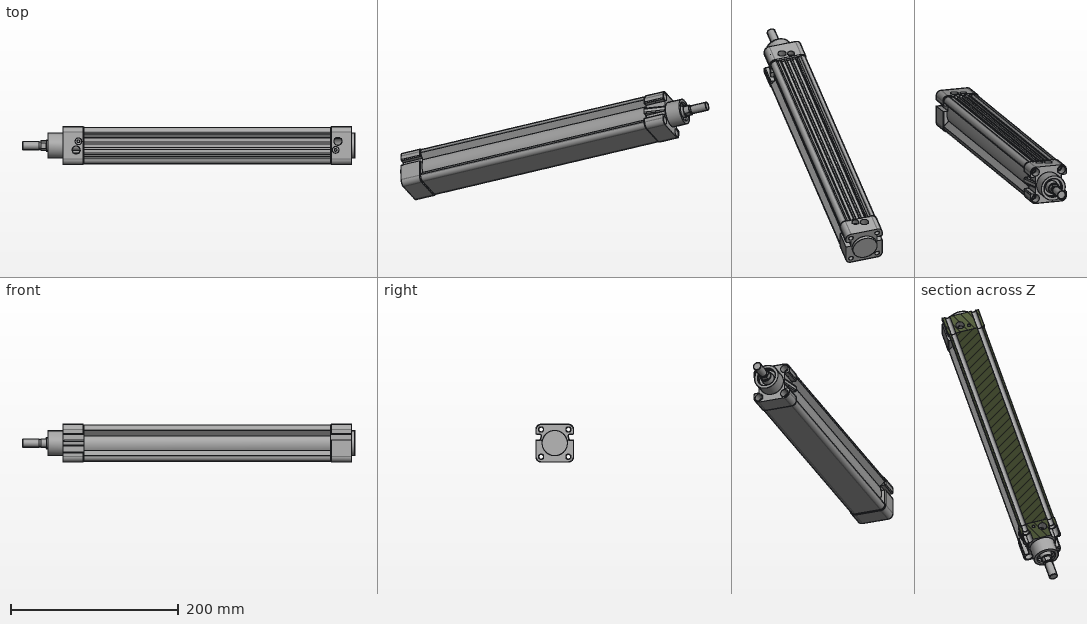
import cadquery as cq


OVERALL_LENGTH = 396.0
NECK_START = 30.0
FRONT_CAP_START = 48.0
TUBE_START = 73.0
TUBE_END = 366.5
REAR_BOSS_LENGTH = 4.0
REAR_CAP_END = OVERALL_LENGTH - REAR_BOSS_LENGTH

CAP_HALF = 22.5
SCREW_OFFSET = 16.2
CORNER_RADIUS = CAP_HALF - SCREW_OFFSET
SEAM_CHAMFER = 1.0
BOSS_RADIUS = 15.0
SIDE_FLOOR = 16.2
LUG_EDGE = 10.3
LUG_CHAMFER = 1.0
RIB_HALF_BASE = 3.5
RIB_HALF_CREST = 2.0
RIB_FLANK_DROP = 0.8
RIB_FRONT_CREST = 16.5
RIB_BACK_CREST = 22.0

THROUGH_RADIUS = 2.8
THREAD_RADIUS = 3.5
THREAD_DEPTH = 16.0
COUNTERBORE_RADIUS = 4.8
COUNTERBORE_DEPTH = 12.0

PORT_RADIUS = 4.8
PORT_FROM_TUBE = 9.0
CUSHION_SCREW_RADIUS = 4.0
CUSHION_SCREW_FROM_TUBE = 6.5
CUSHION_SCREW_DEPTH = 6.0
SOCKET_RADIUS = 1.5
SOCKET_DEPTH = 2.0
TOP_HOLE_OFFSET = 5.0
CUSHION_BORE_RADIUS = 8.7
CUSHION_BORE_DEPTH = 15.0

WIPER_SEAT_RADIUS = 11.0
WIPER_SEAT_DEPTH = 6.5
SEAT_MOUTH_RADIUS = 11.5
SEAT_MOUTH_DEPTH = 2.8
LIP_BASE_RADIUS = 7.5
LIP_TIP_RADIUS = 6.7
LIP_OVERHANG = 1.5

ROD_RADIUS = 6.0
THREAD_END_DIAMETER = 10.0
THREAD_END_CHAMFER = 0.5
UNDERCUT_RADIUS = 4.5
UNDERCUT_START = 19.8
FLATS_START = 21.8
FLATS_END = 27.7
ACROSS_FLATS = THREAD_END_DIAMETER

TUBE_HALF = 21.8
TUBE_CORNER_RADIUS = TUBE_HALF - SCREW_OFFSET
TUBE_BORE_RADIUS = 16.0
TUBE_WALL_RADIUS = 18.0
LOBE_EDGE = 15.0
VALLEY_DEPTH = 2.5
RIDGE_HALF = 10.3
RIDGE_DROP = 0.8
SLOT_WIDTH = 4.5
SLOT_PITCH = 6.7
SLOT_COUNT = 3
SLOT_DEPTH = 2.8


def block(x_range, y_range, z_range):
    """Box given by its limits along the three axes."""
    (x0, x1), (y0, y1), (z0, z1) = x_range, y_range, z_range
    return cq.Workplane("XY").box(x1 - x0, y1 - y0, z1 - z0, centered=False).translate((x0, y0, z0))


def x_cylinder(radius, x0, x1, centers=((0, 0),)):
    """Cylinders along X at the given (Y, Z) centers."""
    return cq.Workplane("YZ", origin=(x0, 0, 0)).pushPoints(centers).circle(radius).extrude(x1 - x0)


def top_hole(radius, x, y, z_floor):
    """Vertical cutter from z_floor up through the top face."""
    return cq.Workplane("XY", origin=(x, y, z_floor)).circle(radius).extrude(CAP_HALF - z_floor)


def prism(points, x0, x1):
    """Closed (Y, Z) outline extruded along X."""
    return cq.Workplane("YZ", origin=(x0, 0, 0)).polyline(points).close().extrude(x1 - x0)


def rounded_bar(half, radius, x0, x1):
    """Square bar along X with its long edges rounded."""
    bar = block((x0, x1), (-half, half), (-half, half))
    return bar.edges("|X").fillet(radius)


SCREW_CENTERS = [(y, z) for y in (-SCREW_OFFSET, SCREW_OFFSET) for z in (-SCREW_OFFSET, SCREW_OFFSET)]


def side_recess(x0, x1, z_low, chamfer_low):
    """Recess in the +Y side up to the upper lug, with the lug corners chamfered."""
    outer = CAP_HALF
    if chamfer_low:
        low_edge = [(outer, z_low - LUG_CHAMFER), (outer - LUG_CHAMFER, z_low)]
    else:
        low_edge = [(outer, z_low)]
    floor = [(SIDE_FLOOR, z_low), (SIDE_FLOOR, LUG_EDGE)]
    high_edge = [
        (outer - LUG_CHAMFER, LUG_EDGE),
        (outer, LUG_EDGE + LUG_CHAMFER),
    ]
    return prism(low_edge + floor + high_edge, x0, x1)


def side_rib():
    """Trapezoidal rib on the +Y side that rises from the front face to the tube."""
    def section(x, crest):
        points = [
            (0, -RIB_HALF_BASE),
            (crest - RIB_FLANK_DROP, -RIB_HALF_BASE),
            (crest, -RIB_HALF_CREST),
            (crest, RIB_HALF_CREST),
            (crest - RIB_FLANK_DROP, RIB_HALF_BASE),
            (0, RIB_HALF_BASE),
        ]
        return cq.Wire.makePolygon([cq.Vector(x, y, z) for y, z in points], close=True)

    front = section(FRONT_CAP_START, RIB_FRONT_CREST)
    back = section(TUBE_START, RIB_BACK_CREST)
    rib = cq.Workplane(cq.Solid.makeLoft([front, back], True))
    return rib.cut(block((FRONT_CAP_START, TUBE_START), (0, SIDE_FLOOR), (-RIB_HALF_BASE, RIB_HALF_BASE)))


def cut_port_and_cushion_screw(cap, tube_face, inward, port_side):
    """Air port down to the cushion bore, and the sunk cushioning screw beside it."""
    port_x = tube_face + inward * PORT_FROM_TUBE
    screw_x = tube_face + inward * CUSHION_SCREW_FROM_TUBE
    port_y = port_side * TOP_HOLE_OFFSET
    screw_floor = CAP_HALF - CUSHION_SCREW_DEPTH
    cap = cap.cut(top_hole(PORT_RADIUS, port_x, port_y, 0))
    cap = cap.cut(top_hole(CUSHION_SCREW_RADIUS, screw_x, -port_y, screw_floor))
    return cap.cut(top_hole(SOCKET_RADIUS, screw_x, -port_y, screw_floor - SOCKET_DEPTH))


def make_front_cap():
    cap = rounded_bar(CAP_HALF, CORNER_RADIUS, FRONT_CAP_START, TUBE_START)
    cap = cap.faces(">X").chamfer(SEAM_CHAMFER)

    recess = side_recess(FRONT_CAP_START, TUBE_START, -LUG_EDGE, True)
    rib = side_rib()
    cap = cap.cut(recess).cut(recess.mirror("XZ"))
    cap = cap.union(rib).union(rib.mirror("XZ"))

    cap = cap.union(x_cylinder(BOSS_RADIUS, NECK_START, FRONT_CAP_START))
    seat_floor = NECK_START + WIPER_SEAT_DEPTH
    cap = cap.cut(x_cylinder(WIPER_SEAT_RADIUS, NECK_START, seat_floor))
    cap = cap.cut(x_cylinder(SEAT_MOUTH_RADIUS, NECK_START, NECK_START + SEAT_MOUTH_DEPTH))
    lip = (
        cq.Workplane("YZ", origin=(seat_floor, 0, 0))
        .circle(LIP_BASE_RADIUS)
        .workplane(offset=-(WIPER_SEAT_DEPTH + LIP_OVERHANG))
        .circle(LIP_TIP_RADIUS)
        .loft()
    )
    cap = cap.union(lip)

    bore_start = TUBE_START - CUSHION_BORE_DEPTH
    cap = cap.cut(x_cylinder(ROD_RADIUS, NECK_START - LIP_OVERHANG, TUBE_START))
    cap = cap.cut(x_cylinder(CUSHION_BORE_RADIUS, bore_start, TUBE_START))
    for radius, depth in (
        (COUNTERBORE_RADIUS, COUNTERBORE_DEPTH),
        (THREAD_RADIUS, THREAD_DEPTH),
        (THROUGH_RADIUS, TUBE_START - FRONT_CAP_START),
    ):
        cap = cap.cut(x_cylinder(radius, FRONT_CAP_START, FRONT_CAP_START + depth, SCREW_CENTERS))

    return cut_port_and_cushion_screw(cap, TUBE_START, -1, -1)


def make_rear_cap():
    cap = rounded_bar(CAP_HALF, CORNER_RADIUS, TUBE_END, REAR_CAP_END)
    cap = cap.faces("<X").chamfer(SEAM_CHAMFER)
    recess = side_recess(TUBE_END, REAR_CAP_END, RIB_HALF_BASE, False)
    cap = cap.cut(recess).cut(recess.mirror("XZ"))
    cap = cap.union(x_cylinder(BOSS_RADIUS, REAR_CAP_END, OVERALL_LENGTH))
    cap = cap.cut(x_cylinder(CUSHION_BORE_RADIUS, TUBE_END, TUBE_END + CUSHION_BORE_DEPTH))
    cap = cap.cut(x_cylinder(THROUGH_RADIUS, TUBE_END, REAR_CAP_END, SCREW_CENTERS))
    return cut_port_and_cushion_screw(cap, TUBE_END, 1, 1)


def make_tube():
    tube = rounded_bar(TUBE_HALF, TUBE_CORNER_RADIUS, TUBE_START, TUBE_END)

    channel_points = [
        (TUBE_HALF - LOBE_EDGE, 0),
        (TUBE_HALF, -LOBE_EDGE),
        (TUBE_HALF, LOBE_EDGE),
    ]
    channel = prism(channel_points, TUBE_START, TUBE_END)
    channel = channel.cut(x_cylinder(TUBE_WALL_RADIUS, TUBE_START, TUBE_END))
    tube = tube.cut(channel).cut(channel.mirror("XZ"))

    valley_y = LOBE_EDGE - VALLEY_DEPTH
    ridge_z = TUBE_HALF - RIDGE_DROP
    top_profile = [
        (LOBE_EDGE, TUBE_HALF),
        (valley_y, TUBE_HALF - VALLEY_DEPTH),
        (RIDGE_HALF, ridge_z),
        (-RIDGE_HALF, ridge_z),
        (-valley_y, TUBE_HALF - VALLEY_DEPTH),
        (-LOBE_EDGE, TUBE_HALF),
    ]
    tube = tube.cut(prism(top_profile, TUBE_START, TUBE_END))

    for index in range(SLOT_COUNT):
        y = (index - (SLOT_COUNT - 1) / 2) * SLOT_PITCH
        y_range = (y - SLOT_WIDTH / 2, y + SLOT_WIDTH / 2)
        tube = tube.cut(block((TUBE_START, TUBE_END), y_range, (ridge_z - SLOT_DEPTH, TUBE_HALF)))

    tube = tube.cut(x_cylinder(TUBE_BORE_RADIUS, TUBE_START, TUBE_END))
    return tube.cut(x_cylinder(THROUGH_RADIUS, TUBE_START, TUBE_END, SCREW_CENTERS))


def make_piston_rod():
    thread_end = x_cylinder(THREAD_END_DIAMETER / 2, 0, UNDERCUT_START)
    thread_end = thread_end.faces("<X").chamfer(THREAD_END_CHAMFER)
    undercut = x_cylinder(UNDERCUT_RADIUS, UNDERCUT_START, FLATS_START)
    shaft = x_cylinder(ROD_RADIUS, FLATS_START, TUBE_START)
    flat = block((FLATS_START, FLATS_END), (-ROD_RADIUS, ROD_RADIUS), (ACROSS_FLATS / 2, ROD_RADIUS))
    shaft = shaft.cut(flat).cut(flat.mirror("XY"))
    return thread_end.union(undercut).union(shaft)


piston_rod = make_piston_rod()
front_cap = make_front_cap()
tube = make_tube()
rear_cap = make_rear_cap()

result = cq.Compound.makeCompound([piston_rod.val(), front_cap.val(), tube.val(), rear_cap.val()])